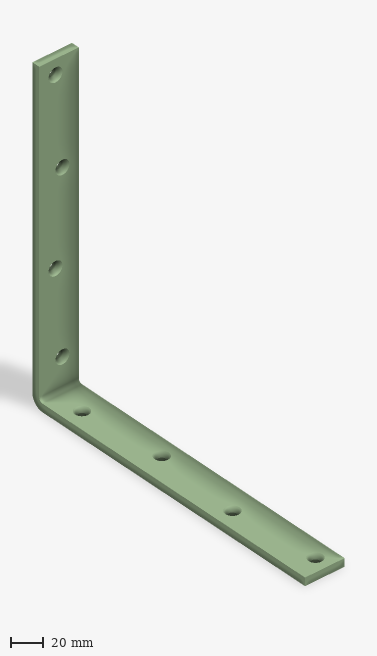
import cadquery as cq

leg_length = 254.0
width = 31.8
thickness = 6.4
inner_bend_radius = 3.0
outer_bend_radius = inner_bend_radius + thickness

hole_diameter = 5.5
sink_diameter = 11.2
sink_angle = 82.0
hole_distances = (31.0, 98.8, 171.2, 242.0)
hole_offset = 2.8


def make_strip():
    """L-shaped strip centred on Y, with its outer corner at X = Z = 0."""
    profile = (
        cq.Workplane("XZ")
        .polyline([
            (0, 0),
            (leg_length, 0),
            (leg_length, thickness),
            (thickness, thickness),
            (thickness, leg_length),
            (0, leg_length),
        ])
        .close()
    )
    strip = profile.extrude(width / 2, both=True)
    strip = strip.edges(cq.NearestToPointSelector((0, 0, 0))).fillet(outer_bend_radius)
    inner_corner = (thickness, 0, thickness)
    return strip.edges(cq.NearestToPointSelector(inner_corner)).fillet(inner_bend_radius)


def drill_leg(strip, inner_face, hole_points):
    """Drill through one leg, countersinking from its inner face."""
    return (
        strip.copyWorkplane(inner_face)
        .pushPoints(hole_points)
        .cskHole(hole_diameter, sink_diameter, sink_angle, depth=thickness)
    )


def staggered_points(first_side):
    """Hole centres along a leg, alternating sides of its middle line."""
    return [
        (distance, first_side * hole_offset * (-1) ** index)
        for index, distance in enumerate(hole_distances)
    ]


foot_face = cq.Workplane(
    cq.Plane(origin=(0, 0, thickness), xDir=(1, 0, 0), normal=(0, 0, 1))
)
upright_face = cq.Workplane(
    cq.Plane(origin=(thickness, 0, 0), xDir=(0, 0, 1), normal=(1, 0, 0))
)

result = make_strip()
result = drill_leg(result, foot_face, staggered_points(first_side=-1))
result = drill_leg(result, upright_face, staggered_points(first_side=-1))